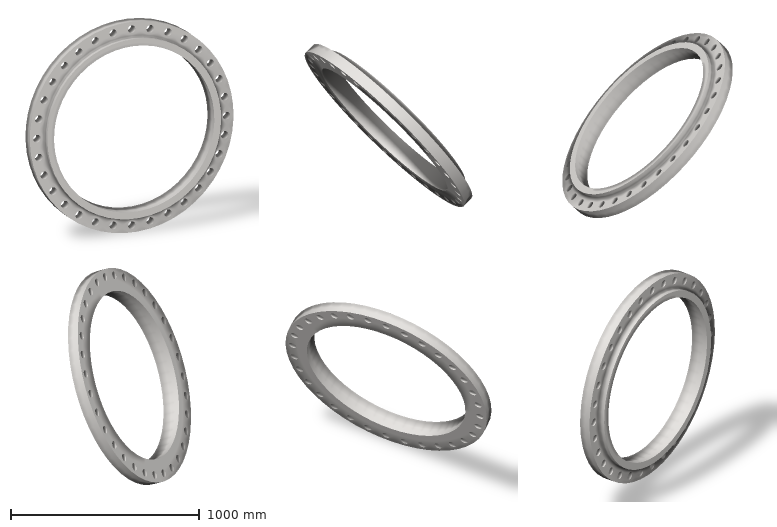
import cadquery as cq

outer_diameter = 1168.0
bore_diameter = 920.0
total_length = 96.0
flange_thickness = 61.0
hub_diameter = 997.0
neck_fillet = 9.0

bolt_count = 32
bolt_circle_diameter = 1087.0
bolt_hole_diameter = 42.0

outer_radius = outer_diameter / 2
bore_radius = bore_diameter / 2
hub_radius = hub_diameter / 2
front_x = -total_length / 2
shoulder_x = front_x + flange_thickness
back_x = total_length / 2


def make_ring():
    """Flange plate and hub, revolved from half a cross-section above the X axis."""
    return (
        cq.Workplane("XZ")
        .moveTo(front_x, bore_radius)
        .lineTo(front_x, outer_radius)
        .lineTo(shoulder_x, outer_radius)
        .lineTo(shoulder_x, hub_radius + neck_fillet)
        .radiusArc((shoulder_x + neck_fillet, hub_radius), -neck_fillet)
        .lineTo(back_x, hub_radius)
        .lineTo(back_x, bore_radius)
        .close()
        .revolve(360, (0, 0, 0), (1, 0, 0))
    )


def make_bolt_holes():
    """Cylinders through the flange, evenly spaced with the first one on the Y axis."""
    return (
        cq.Workplane("YZ", origin=(front_x, 0, 0))
        .polarArray(bolt_circle_diameter / 2, 0, 360, bolt_count)
        .circle(bolt_hole_diameter / 2)
        .extrude(flange_thickness)
    )


result = make_ring().cut(make_bolt_holes())